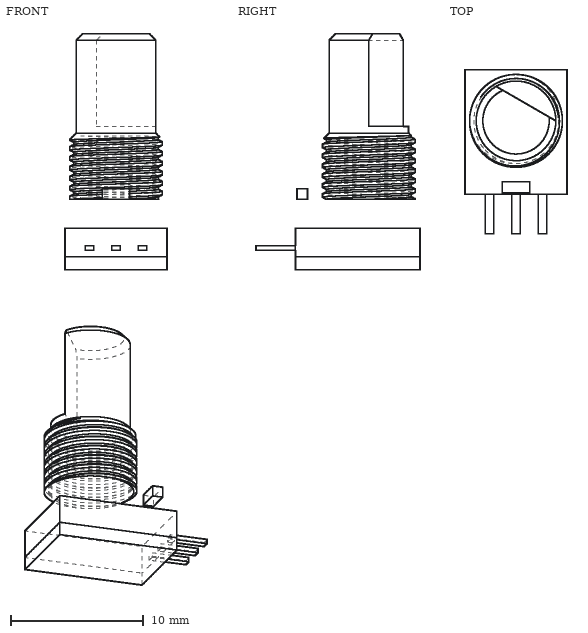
import cadquery as cq


width = 7.7
depth = 9.38
plate_thickness = 1.0
housing_top = 3.15
back_y = width / 2
front_y = back_y - depth
center_y = (back_y + front_y) / 2

pin_count = 3
pin_pitch = 2.0
pin_width = 0.65
pin_thickness = 0.35
overall_depth = 12.35
pin_length = overall_depth - depth
pin_bottom = 1.48

tab_width = 2.05
tab_size = 0.82
tab_setback = 0.1

bushing_bottom = 5.3
bushing_top = 10.3
bushing_length = bushing_top - bushing_bottom
major_radius = 7.0 / 2
thread_depth = 0.3
root_radius = major_radius - thread_depth
thread_pitch = 0.75
crest_width = 0.25
ridge_base_width = 0.57
crest_height_at_x_axis = 0.48
root_overlap = 0.07
envelope_margin = 1.07

shaft_radius = 6.0 / 2
shaft_top = 17.8
shaft_chamfer = 0.5
flat_distance = shaft_radius / 2
flat_angle = 60
flat_rise = 0.5
flat_bottom = bushing_top + flat_rise


def block(size_x, size_y, size_z, x, y, bottom):
    """Box centred on (x, y) and standing on the given height."""
    box = cq.Workplane("XY").box(size_x, size_y, size_z, centered=(True, True, False))
    return box.translate((x, y, bottom))


def make_base_plate():
    return block(width, depth, plate_thickness, 0, center_y, 0)


def make_housing():
    return block(width, depth, housing_top - plate_thickness, 0, center_y, plate_thickness)


def make_pin(x):
    return block(pin_width, pin_length, pin_thickness, x, front_y - pin_length / 2, pin_bottom)


def make_tab():
    return block(tab_width, tab_size, tab_size, 0, front_y + tab_setback + tab_size / 2, bushing_bottom)


def make_thread_ridge():
    """Right-handed trapezoidal ridge that overruns both ends of the bushing."""
    start = bushing_bottom + crest_height_at_x_axis - 2 * thread_pitch
    height = bushing_length + 3 * thread_pitch
    path = cq.Wire.makeHelix(thread_pitch, height, root_radius, cq.Vector(0, 0, start))
    inner_radius = root_radius - root_overlap
    flank_slope = (ridge_base_width - crest_width) / 2 / thread_depth
    inner_half_width = ridge_base_width / 2 + root_overlap * flank_slope
    profile = cq.Workplane("XZ").polyline([
        (inner_radius, start - inner_half_width),
        (major_radius, start - crest_width / 2),
        (major_radius, start + crest_width / 2),
        (inner_radius, start + inner_half_width),
    ]).close()
    return profile.sweep(cq.Workplane(path), isFrenet=True)


def make_bushing():
    """Threaded core, cut flat at the bottom and by a 45 degree cone at the top."""
    envelope = (
        cq.Workplane("XY", origin=(0, 0, bushing_bottom))
        .circle(shaft_radius + envelope_margin)
        .extrude(bushing_length)
        .faces(">Z")
        .chamfer(envelope_margin)
    )
    core = (
        cq.Workplane("XY", origin=(0, 0, bushing_bottom - thread_pitch))
        .circle(root_radius)
        .extrude(bushing_length + 2 * thread_pitch)
    )
    return core.union(make_thread_ridge()).intersect(envelope)


def make_shaft():
    """Chamfered shaft standing on the bushing, with one flat for a knob."""
    shaft = (
        cq.Workplane("XY", origin=(0, 0, bushing_top))
        .circle(shaft_radius)
        .extrude(shaft_top - bushing_top)
        .faces(">Z")
        .chamfer(shaft_chamfer)
    )
    flat_cut = block(
        shaft_radius, 2 * shaft_radius, shaft_top - flat_bottom,
        flat_distance + shaft_radius / 2, 0, flat_bottom,
    ).rotate((0, 0, 0), (0, 0, 1), flat_angle)
    return shaft.cut(flat_cut)


base_plate = make_base_plate()
housing = make_housing()
pins = [make_pin((i - (pin_count - 1) / 2) * pin_pitch) for i in range(pin_count)]
tab = make_tab()
bushing = make_bushing()
shaft = make_shaft()

result = cq.Compound.makeCompound([
    base_plate.val(),
    housing.val(),
    *[pin.val() for pin in pins],
    tab.val(),
    bushing.solids().val(),
    shaft.val(),
])